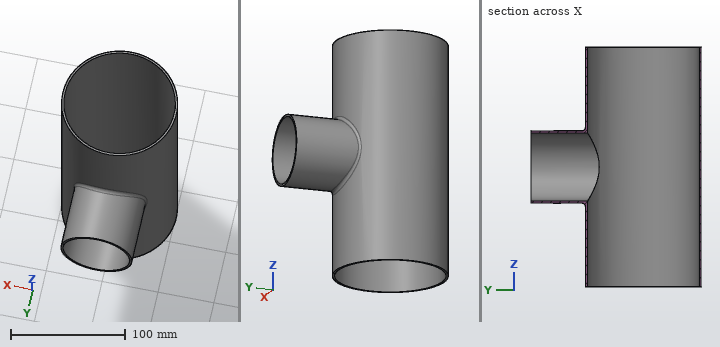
import cadquery as cq

run_diameter = 101.6
run_length = 209.6
branch_diameter = 63.5
branch_reach = 98.4
wall = 2.0
junction_fillet = 3.0

run_radius = run_diameter / 2
branch_radius = branch_diameter / 2


def run_cylinder(radius):
    """Vertical cylinder centred on the origin, as long as the run."""
    return cq.Workplane("XY").circle(radius).extrude(run_length / 2, both=True)


def branch_cylinder(radius):
    """Cylinder from the run axis out to the branch end along +Y."""
    return cq.Workplane("XZ").circle(radius).extrude(-branch_reach)


def outer_body():
    """Solid tee with the run-to-branch junction blended."""
    tee = run_cylinder(run_radius).union(branch_cylinder(branch_radius))
    junction = cq.selectors.BoxSelector(
        (-run_radius, 0, -run_radius),
        (run_radius, run_radius + wall, run_radius),
        boundingbox=True,
    )
    return tee.edges(junction).fillet(junction_fillet)


def bore():
    """Connected passages through the run and the branch."""
    return run_cylinder(run_radius - wall).union(branch_cylinder(branch_radius - wall))


result = outer_body().cut(bore())